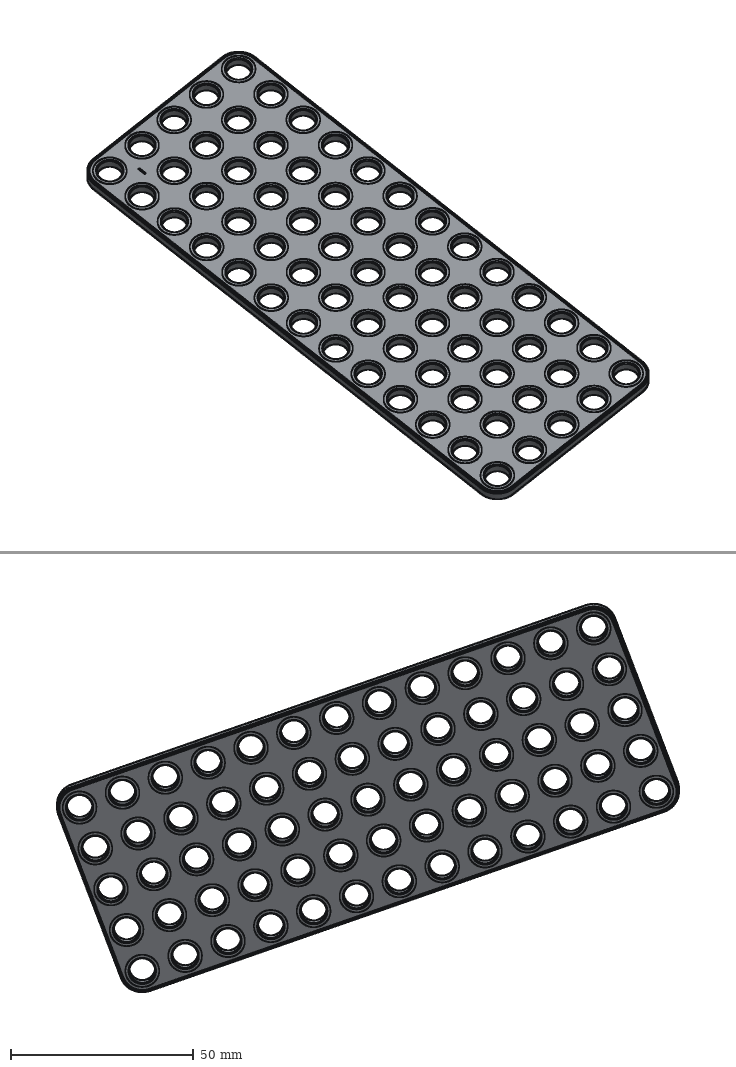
import cadquery as cq

columns = 13
rows = 5
length = 162.5
pitch = length / columns
width = rows * pitch

thickness = pitch / 4
corner_radius = pitch / 2

bevel = 0.31

recess_depth = 0.2
recess_inset = 0.73
ring_diameter = 9.3
bore_diameter = 7.0

slit_length = 2.5
slit_width = 0.3
slit_depth = 0.2


def rounded_slab(inset, height):
    """Plate outline drawn in by the inset, extruded up from Z = 0."""
    return (
        cq.Workplane("XY")
        .rect(length - 2 * inset, width - 2 * inset)
        .extrude(height)
        .edges("|Z")
        .fillet(corner_radius - inset)
    )


def cell_centres():
    """Workplane points at the centre of every cell."""
    return cq.Workplane("XY").rarray(pitch, pitch, columns, rows)


def plate():
    """Rounded plate with both rims bevelled."""
    return rounded_slab(0, thickness).faces("<Z or >Z").edges().chamfer(bevel)


def recess_cutter():
    """Shallow layer at the bottom face that spares a ring around each hole."""
    rings = cell_centres().circle(ring_diameter / 2).extrude(recess_depth)
    return rounded_slab(recess_inset, recess_depth).cut(rings)


def hole_cutters():
    """Through bores with both mouths bevelled, one in every cell."""
    bore_radius = bore_diameter / 2
    mouth_radius = bore_radius + bevel
    profile = (
        cq.Workplane("XZ")
        .lineTo(mouth_radius, 0)
        .lineTo(bore_radius, bevel)
        .lineTo(bore_radius, thickness - bevel)
        .lineTo(mouth_radius, thickness)
        .lineTo(0, thickness)
        .close()
    )
    cutter = profile.revolve(360, (0, 0, 0), (0, 1, 0)).val()
    return cell_centres().eachpoint(lambda place: cutter.moved(place), combine=False)


def slit_cutter():
    """Cutter for the slit one cell in from the corner at low X and low Y."""
    corner = (pitch - length / 2, pitch - width / 2, thickness - recess_depth)
    slit = cq.Workplane("XY", origin=corner).rect(slit_length, slit_width)
    return slit.extrude(-slit_depth)


bottom_recess = recess_cutter()
top_recess = bottom_recess.mirror("XY", (0, 0, thickness / 2))

result = plate().cut(bottom_recess).cut(top_recess).cut(hole_cutters()).cut(slit_cutter())